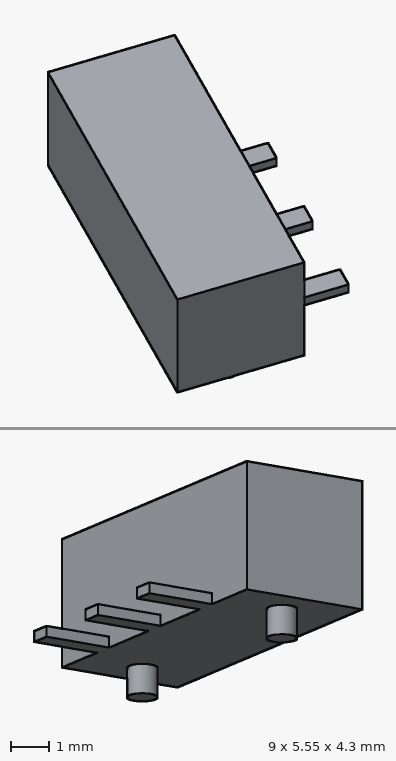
import cadquery as cq

body_length = 9.0
body_depth = 3.6
body_height = 3.5

lead_count = 3
lead_pitch = 2.5
lead_width = 0.6
lead_thickness = 0.3
lead_length = 1.95

peg_diameter = 0.8
peg_height = 0.8
peg_spacing = 6.795


def make_body():
    return cq.Workplane("XY").box(body_length, body_depth, body_height, centered=(True, True, False))


def make_lead(x):
    lead = cq.Workplane("XY").box(lead_width, lead_length, lead_thickness, centered=(True, False, False))
    return lead.translate((x, body_depth / 2, 0))


def make_pegs():
    peg_centers = [(-peg_spacing / 2, 0), (peg_spacing / 2, 0)]
    return cq.Workplane("XY").pushPoints(peg_centers).circle(peg_diameter / 2).extrude(-peg_height)


result = make_body().union(make_pegs())
for index in range(lead_count):
    lead_x = (index - (lead_count - 1) / 2) * lead_pitch
    result = result.union(make_lead(lead_x))